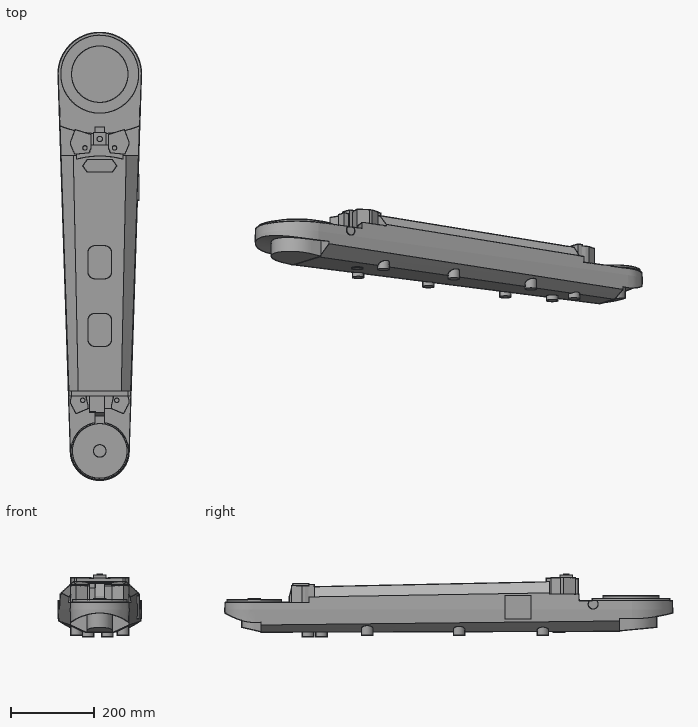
import cadquery as cq
import math


LENGTH = 1070.0
WIDTH = 200.0
HEIGHT = 150.0
BIG_RADIUS = WIDTH / 2
SMALL_RADIUS = 71.0
BIG_Y = LENGTH / 2 - BIG_RADIUS
SMALL_Y = SMALL_RADIUS - LENGTH / 2
TAPER = math.asin((BIG_RADIUS - SMALL_RADIUS) / (BIG_Y - SMALL_Y))
DRAFT = 2.0
REACH = 214.0

HOUSING_TOP = 48.0
BIG_DECK_Z = 22.0
SMALL_DECK_Z = 17.0
PLATFORM_Z = 37.0
DECK_WALL_MID_Y = 293.0
DECK_WALL_SIDE_Y = 314.0
SMALL_WALL_Y = -334.0

COVER_BIG_Y = 241.0
COVER_SMALL_Y = -321.0
COVER_INSET = 1.6
COVER_OVERLAP = 11.0
SHOULDER_BIG_Z = 41.0
SHOULDER_SMALL_Z = 31.0
COVER_TOP_BIG_Z = 67.0
COVER_TOP_SMALL_Z = 56.0
COVER_SLOPE = (COVER_TOP_BIG_Z - COVER_TOP_SMALL_Z) / (COVER_BIG_Y - COVER_SMALL_Y)
RIDGE_BIG_X = 63.0
RIDGE_SMALL_X = 51.0

WINDOW_WIDTH = 57.0
WINDOW_LENGTH = 79.0
WINDOW_RADIUS = 17.0
WINDOW_YS = [-14.0, -175.0]
WINDOW_DEPTH = 2.0
NAME_PLATE_Y = 216.0
NAME_PLATE_TIP_X = 41.0
NAME_PLATE_FLAT_X = 30.0
NAME_PLATE_HALF_WIDTH = 15.0
NAME_PLATE_DEPTH = 1.0

BELLY_BIG_Y = 408.0
BELLY_SMALL_Y = -448.0
BELLY_DEPTH_BIG = 51.0
BELLY_DEPTH_SMALL = 54.0
BELLY_FLAT_BIG_X = 56.0
BELLY_FLAT_SMALL_X = 32.0
BEVEL_START_BIG = 26.0
BEVEL_START_SMALL = 35.0
BELLY_FLARE = 11.0

ARCH_CROWN_DEPTH = 7.0
ARCH_SPAN_BIG = 111.0
ARCH_SPAN_SMALL = 81.0
ARCH_EDGE_DEPTH_BIG = 25.0
ARCH_EDGE_DEPTH_SMALL = 40.0
KEEL_RADIUS_BIG = 62.0
KEEL_RADIUS_SMALL = 30.0
KEEL_TIP_DEPTH = 42.0
KEEL_STEP = 1.0

BIG_DISCS = [(93.0, 28.0), (67.0, 34.0)]
SMALL_DISCS = [(68.0, 19.0), (65.0, 25.0), (15.0, 28.0)]

BIG_BLOCK_TOP = 77.0
BIG_BLOCK = [(-59.0, 303.0), (-21.0, 291.0), (-21.0, 257.0), (-26.0, 247.0),
             (-60.0, 244.0), (-70.0, 266.0), (-70.0, 274.0)]
BIG_SCREW = (-35.0, 259.0)
BRIDGE_TOP = 76.0
BRIDGE_HALF_WIDTH = 56.0
BRIDGE_SIDE_Y = 232.0
BRIDGE_MID_Y = 240.0
BRIDGE_SHOULDER_Y = 245.0
BRIDGE_NECK_X = 24.0
BRIDGE_NECK_Y = 249.0
KNOB_HALF_WIDTH = 15.0
KNOB_Y0 = 265.0
KNOB_Y1 = 295.0
KNOB_TOP = 83.0
KNOB_PIN_Y = 280.0
KNOB_PIN_RADIUS = 6.0
KNOB_PIN_TOP = 86.0
BIG_PLUG_END_Y = 309.0
BIG_PLUG_TOP = 75.0

SMALL_BLOCK_TOP = 58.0
SMALL_BLOCK = [(-67.0, -334.0), (-33.0, -334.0), (-28.0, -356.0), (-29.0, -364.0),
               (-57.0, -376.0), (-70.0, -351.0), (-70.0, -342.0)]
SMALL_SCREW = (-41.0, -343.0)
END_PLATE_HALF_WIDTH = 67.0
END_PLATE_TOP = 61.0
WEB_HALF_WIDTH = 32.0
WEB_END_Y = -363.0
WEB_TOP = 57.0
SOCKET_X0 = -25.0
SOCKET_X1 = 12.0
SOCKET_Y = -372.0
SOCKET_TOP = 63.0
SOCKET_NOTCH_X = -10.0
SOCKET_NOTCH_Y = -370.0
SOCKET_NOTCH_Z = 52.0
SMALL_PLUG_Y = -381.0
SMALL_PLUG_TOP = 32.0
CABLE_END_Y = -401.0
CABLE_TOP = 19.0

PLUG_HALF_WIDTH = 12.0
BRACKET_ROOT = 5.0
SCREW_RADIUS = 5.0
SCREW_DEPTH = 3.0

FOOT_RADIUS = 14.0
SIDE_FOOT_X = 56.0
SIDE_FOOT_YS = [225.0, 25.0, -195.0]
SIDE_FOOT_Z = -61.0
FRONT_FEET = [(-28.0, -336.0), (18.0, -304.0)]
FRONT_FOOT_Z = KNOB_PIN_TOP - HEIGHT
PAD_Y = 263.0
PAD_Z = -54.0

SIDE_PLATE_Y0 = 134.0
SIDE_PLATE_Y1 = 196.0
SIDE_PLATE_X = 94.0
SIDE_PLATE_Z0 = -21.0
SIDE_PLATE_Z1 = 34.0
RECESS_Y = 345.0
RECESS_Z = 14.0
RECESS_RADIUS = 12.0
RECESS_FLOOR_X = 95.0


def half_width(y):
    """Half width of the housing at the seam, along its straight sides."""
    return (BIG_RADIUS - (BIG_Y - y) * math.sin(TAPER)) / math.cos(TAPER)


def box(x0, x1, y0, y1, z0, z1):
    return cq.Workplane("XY").box(x1 - x0, y1 - y0, z1 - z0, centered=False).translate((x0, y0, z0))


def disc(x, y, radius, z0, z1):
    return cq.Workplane("XY", origin=(x, y, z0)).circle(radius).extrude(z1 - z0)


def prism(points, z0, z1):
    return cq.Workplane("XY", origin=(0, 0, z0)).polyline(points).close().extrude(z1 - z0)


def side_prism(points, half_span=REACH):
    """Extrude a (Y, Z) profile symmetrically along X."""
    return cq.Workplane("YZ").polyline(points).close().extrude(half_span, both=True)


def section_loft(y0, section0, y1, section1):
    """Ruled body between two (X, Z) sections at two Y positions."""
    wires = []
    for y, section in ((y0, section0), (y1, section1)):
        points = [cq.Vector(x, y, z) for x, z in section]
        wires.append(cq.Wire.makePolygon(points, close=True))
    return cq.Workplane(cq.Solid.makeLoft(wires, True))


def mirrored_section(half):
    """Complete a section from its +X half, listed in order from one end to the other."""
    return half + [(-x, z) for x, z in reversed(half)]


def with_mirror(body):
    return body.union(body.mirror("YZ"))


def housing_half(height):
    """Drafted half of the housing; a negative height grows downward."""
    side, rise = math.cos(TAPER), math.sin(TAPER)
    outline = (
        cq.Workplane("XY")
        .moveTo(BIG_RADIUS * side, BIG_Y + BIG_RADIUS * rise)
        .threePointArc((0, LENGTH / 2), (-BIG_RADIUS * side, BIG_Y + BIG_RADIUS * rise))
        .lineTo(-SMALL_RADIUS * side, SMALL_Y + SMALL_RADIUS * rise)
        .threePointArc((0, -LENGTH / 2), (SMALL_RADIUS * side, SMALL_Y + SMALL_RADIUS * rise))
        .close()
    )
    return outline.extrude(height, taper=DRAFT)


def upper_housing():
    """Upper half with a low deck at each hub and a sloping rim under the cover."""
    profile = [
        (LENGTH, 0),
        (LENGTH, PLATFORM_Z),
        (COVER_BIG_Y, PLATFORM_Z),
        (COVER_BIG_Y, SHOULDER_BIG_Z),
        (SMALL_WALL_Y, SHOULDER_SMALL_Z),
        (SMALL_WALL_Y, SMALL_DECK_Z),
        (-LENGTH, SMALL_DECK_Z),
        (-LENGTH, 0),
    ]
    deck_cut = (
        cq.Workplane("XY", origin=(0, 0, BIG_DECK_Z))
        .moveTo(-BIG_RADIUS, DECK_WALL_SIDE_Y)
        .threePointArc((0, DECK_WALL_MID_Y), (BIG_RADIUS, DECK_WALL_SIDE_Y))
        .lineTo(BIG_RADIUS, LENGTH)
        .lineTo(-BIG_RADIUS, LENGTH)
        .close()
        .extrude(HOUSING_TOP)
    )
    return housing_half(HOUSING_TOP).intersect(side_prism(profile)).cut(deck_cut)


def cover_section(y, shoulder_z, ridge_x, top_z):
    edge = half_width(y) - COVER_INSET
    return mirrored_section([(edge, shoulder_z - COVER_OVERLAP), (edge, shoulder_z), (ridge_x, top_z)])


def on_cover_top(tool, y, depth):
    """Sink a tool that starts at Z = 0 into the sloping cover top."""
    top_z = COVER_TOP_SMALL_Z + COVER_SLOPE * (y - COVER_SMALL_Y)
    tilt = math.degrees(math.atan(COVER_SLOPE))
    return tool.rotate((0, 0, 0), (1, 0, 0), tilt).translate((0, y, top_z - depth))


def cover():
    body = section_loft(
        COVER_BIG_Y, cover_section(COVER_BIG_Y, SHOULDER_BIG_Z, RIDGE_BIG_X, COVER_TOP_BIG_Z),
        COVER_SMALL_Y, cover_section(COVER_SMALL_Y, SHOULDER_SMALL_Z, RIDGE_SMALL_X, COVER_TOP_SMALL_Z),
    )
    tool_height = 11.0
    window = (
        cq.Workplane("XY").rect(WINDOW_WIDTH, WINDOW_LENGTH).extrude(tool_height)
        .edges("|Z").fillet(WINDOW_RADIUS)
    )
    for y in WINDOW_YS:
        body = body.cut(on_cover_top(window, y, WINDOW_DEPTH))
    tip, flat, side = NAME_PLATE_TIP_X, NAME_PLATE_FLAT_X, NAME_PLATE_HALF_WIDTH
    hexagon = [(tip, 0), (flat, side), (-flat, side), (-tip, 0), (-flat, -side), (flat, -side)]
    name_plate = prism(hexagon, 0, tool_height)
    return body.cut(on_cover_top(name_plate, NAME_PLATE_Y, NAME_PLATE_DEPTH))


def belly_section(y, bevel_start, depth, flat_x):
    edge = half_width(y)
    return mirrored_section([(flat_x, -depth), (edge, -bevel_start), (edge + BELLY_FLARE, 0)])


def hub_slab(belly_y, half_span, edge_depth):
    """Space above the arched underside, from the belly end past the hub tip."""
    direction = math.copysign(1, belly_y)
    arch = (
        cq.Workplane("XZ", origin=(0, belly_y, 0))
        .moveTo(-half_span, 0)
        .lineTo(-half_span, -edge_depth)
        .threePointArc((0, -ARCH_CROWN_DEPTH), (half_span, -edge_depth))
        .lineTo(half_span, 0)
        .close()
    )
    return arch.extrude(-direction * REACH)


def keel(hub_y, radius, belly_y, depth):
    """Round-nosed keel under a hub, its underside rising toward the nose."""
    nose_y = hub_y + math.copysign(radius, hub_y)
    y0, y1 = sorted((hub_y, belly_y))
    plan = disc(0, hub_y, radius, -depth, 0).union(box(-radius, radius, y0, y1, -depth, 0))
    ramp = [(belly_y, 0), (nose_y, 0), (nose_y, -KEEL_TIP_DEPTH), (belly_y, KEEL_STEP - depth)]
    return plan.intersect(side_prism(ramp))


def lower_housing():
    half = housing_half(-BELLY_DEPTH_SMALL)
    belly = section_loft(
        BELLY_BIG_Y, belly_section(BELLY_BIG_Y, BEVEL_START_BIG, BELLY_DEPTH_BIG, BELLY_FLAT_BIG_X),
        BELLY_SMALL_Y, belly_section(BELLY_SMALL_Y, BEVEL_START_SMALL, BELLY_DEPTH_SMALL, BELLY_FLAT_SMALL_X),
    )
    body = half.intersect(belly)
    body = body.union(half.intersect(hub_slab(BELLY_BIG_Y, ARCH_SPAN_BIG, ARCH_EDGE_DEPTH_BIG)))
    body = body.union(half.intersect(hub_slab(BELLY_SMALL_Y, ARCH_SPAN_SMALL, ARCH_EDGE_DEPTH_SMALL)))
    body = body.union(keel(BIG_Y, KEEL_RADIUS_BIG, BELLY_BIG_Y, BELLY_DEPTH_BIG))
    return body.union(keel(SMALL_Y, KEEL_RADIUS_SMALL, BELLY_SMALL_Y, BELLY_DEPTH_SMALL))


def hub_discs():
    body = cq.Workplane("XY")
    for hub_y, discs in ((BIG_Y, BIG_DISCS), (SMALL_Y, SMALL_DISCS)):
        for radius, top in discs:
            body = body.add(disc(0, hub_y, radius, 0, top))
    return body.combine()


def bracket_blocks(outline, screw, base, top):
    """Mirrored pair of clamp blocks, each with a sunk screw."""
    screw_x, screw_y = screw
    block = prism(outline, base, top)
    return with_mirror(block.cut(disc(screw_x, screw_y, SCREW_RADIUS, top - SCREW_DEPTH, top)))


def big_bracket():
    base = BIG_DECK_Z - BRACKET_ROOT
    bridge = (
        cq.Workplane("XY", origin=(0, 0, base))
        .moveTo(-BRIDGE_HALF_WIDTH, BRIDGE_SIDE_Y)
        .threePointArc((0, BRIDGE_MID_Y), (BRIDGE_HALF_WIDTH, BRIDGE_SIDE_Y))
        .lineTo(BRIDGE_HALF_WIDTH, BRIDGE_SHOULDER_Y)
        .lineTo(BRIDGE_NECK_X, BRIDGE_NECK_Y)
        .lineTo(BRIDGE_NECK_X, KNOB_Y0)
        .lineTo(-BRIDGE_NECK_X, KNOB_Y0)
        .lineTo(-BRIDGE_NECK_X, BRIDGE_NECK_Y)
        .lineTo(-BRIDGE_HALF_WIDTH, BRIDGE_SHOULDER_Y)
        .close()
        .extrude(BRIDGE_TOP - base)
    )
    body = bracket_blocks(BIG_BLOCK, BIG_SCREW, base, BIG_BLOCK_TOP).union(bridge)
    body = body.union(box(-KNOB_HALF_WIDTH, KNOB_HALF_WIDTH, KNOB_Y0, KNOB_Y1, base, KNOB_TOP))
    body = body.union(disc(0, KNOB_PIN_Y, KNOB_PIN_RADIUS, base, KNOB_PIN_TOP))
    return body.union(box(-PLUG_HALF_WIDTH, PLUG_HALF_WIDTH, KNOB_Y1, BIG_PLUG_END_Y, base, BIG_PLUG_TOP))


def small_bracket():
    base = SMALL_DECK_Z - BRACKET_ROOT
    wall = SMALL_WALL_Y
    socket = box(SOCKET_X0, SOCKET_X1, SOCKET_Y, wall, base, SOCKET_TOP)
    socket = socket.cut(box(SOCKET_X0, SOCKET_NOTCH_X, SOCKET_Y, SOCKET_NOTCH_Y, SOCKET_NOTCH_Z, SOCKET_TOP))
    plug = [(SOCKET_Y, base), (SOCKET_Y, SOCKET_TOP), (SMALL_PLUG_Y, SMALL_PLUG_TOP), (SMALL_PLUG_Y, base)]
    body = bracket_blocks(SMALL_BLOCK, SMALL_SCREW, base, SMALL_BLOCK_TOP)
    end_plate = box(-END_PLATE_HALF_WIDTH, END_PLATE_HALF_WIDTH, wall, COVER_SMALL_Y, base, END_PLATE_TOP)
    body = body.union(end_plate)
    body = body.union(box(-WEB_HALF_WIDTH, WEB_HALF_WIDTH, WEB_END_Y, wall, base, WEB_TOP))
    body = body.union(socket).union(side_prism(plug, PLUG_HALF_WIDTH))
    return body.union(box(-PLUG_HALF_WIDTH, PLUG_HALF_WIDTH, CABLE_END_Y, SOCKET_Y, base, CABLE_TOP))


def feet():
    body = disc(0, PAD_Y, FOOT_RADIUS, PAD_Z, 0)
    for y in SIDE_FOOT_YS:
        body = body.union(with_mirror(disc(SIDE_FOOT_X, y, FOOT_RADIUS, SIDE_FOOT_Z, 0)))
    for x, y in FRONT_FEET:
        body = body.union(disc(x, y, FOOT_RADIUS, FRONT_FOOT_Z, 0))
    return body


def side_plate():
    return box(0, SIDE_PLATE_X, SIDE_PLATE_Y0, SIDE_PLATE_Y1, SIDE_PLATE_Z0, SIDE_PLATE_Z1)


def side_recesses():
    recess = cq.Workplane("YZ", origin=(RECESS_FLOOR_X, RECESS_Y, RECESS_Z)).circle(RECESS_RADIUS)
    return with_mirror(recess.extrude(BIG_RADIUS - RECESS_FLOOR_X))


result = upper_housing().union(lower_housing()).union(cover()).union(hub_discs())
result = result.union(big_bracket()).union(small_bracket()).union(feet()).union(side_plate())
result = result.cut(side_recesses())